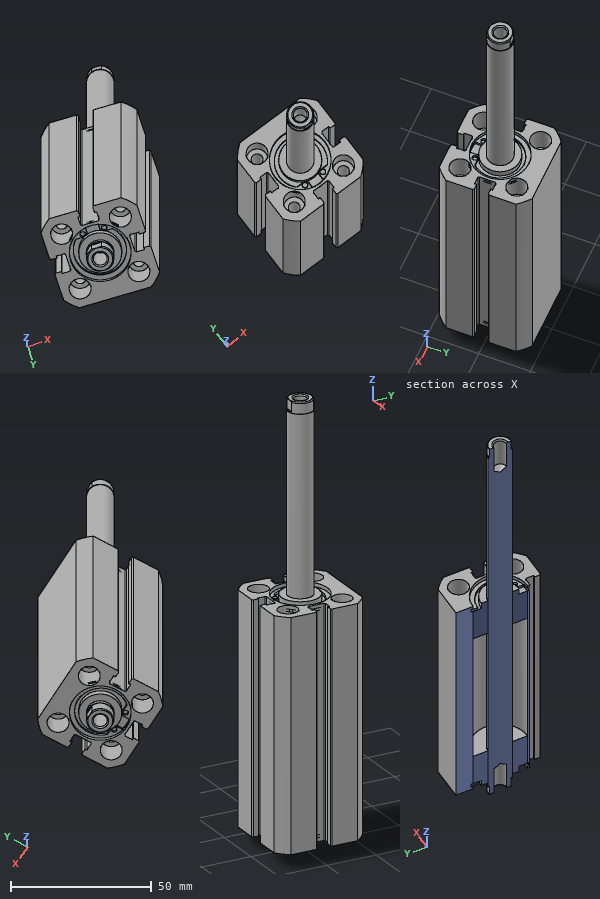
import cadquery as cq
import math

SIDE = 36.0
HOUSING_LENGTH = 92.0
CORNER_RADIUS = 22.5

BOLT_PITCH = 22.0
BOLT_HOLE_DIAMETER = 4.2
COUNTERBORE_DIAMETER = 7.8
COUNTERBORE_DEPTH = 10.0

SLOT_MOUTH_WIDTH = 5.4
SLOT_INNER_WIDTH = 7.0
SLOT_LIP = 2.6
SLOT_DEPTH = 6.0
SLOT_CORNER_CHAMFER = 0.4
SLOT_MOUTH_CHAMFER = 0.5
SLOT_ANGLES = (0, 180, 270)

BORE_DIAMETER = 22.0

ROD_DIAMETER = 10.0
ROD_TOP_REACH = 76.0
ROD_BOTTOM_REACH = 6.0
ROD_END_DIAMETER = 9.7
ROD_END_LENGTH = 4.5
FLATS_WIDTH = 9.0
FLATS_LENGTH = 4.0
ROD_CHAMFER = 0.4
THREAD_HOLE_DIAMETER = 5.0
THREAD_HOLE_DEPTH = 12.0
COUNTERSINK_DIAMETER = 6.0
DRILL_POINT_ANGLE = 118.0

COVER_LENGTH = 14.0
HUB_DIAMETER = 15.4
RING_RECESS = 1.5
RING_THICKNESS = 1.0
RING_DIAMETER = 23.4
RING_EYE_DIAMETER = 19.0
RING_EYE_OFFSET = 0.4
LUG_EDGE = 7.0
LUG_HUB_CLEARANCE = 0.3
RING_GAP = 4.8
PLIER_HOLE_DIAMETER = 2.0
PLIER_HOLE_X = 4.0
PLIER_HOLE_Y = -8.1

RING_TOP = HOUSING_LENGTH - RING_RECESS
RING_BOTTOM = RING_TOP - RING_THICKNESS
COVER_BOTTOM = RING_BOTTOM - COVER_LENGTH


def cylinder(diameter, bottom, top):
    """Cylinder on the Z axis between two heights."""
    return cq.Workplane("XY").workplane(offset=bottom).circle(diameter / 2).extrude(top - bottom)


def mirror_to_bottom(body):
    """Copy a body from the top end of the housing to the bottom end."""
    middle = (0, 0, HOUSING_LENGTH / 2)
    return body.mirror("XY", middle)


def t_slot():
    """Slot on the +X side, along the full housing length."""
    face_x = SIDE / 2
    lip_x = face_x - SLOT_LIP
    floor_x = face_x - SLOT_DEPTH
    mouth_y = SLOT_MOUTH_WIDTH / 2
    inner_y = SLOT_INNER_WIDTH / 2
    upper_half = [
        (floor_x, inner_y - SLOT_CORNER_CHAMFER),
        (floor_x + SLOT_CORNER_CHAMFER, inner_y),
        (lip_x, inner_y),
        (lip_x, mouth_y),
        (face_x - SLOT_MOUTH_CHAMFER, mouth_y),
        (face_x, mouth_y + SLOT_MOUTH_CHAMFER),
    ]
    lower_half = [(x, -y) for x, y in reversed(upper_half)]
    return cq.Workplane("XY").polyline(upper_half + lower_half).close().extrude(HOUSING_LENGTH)


def make_housing():
    """Extruded barrel with bore, ring grooves, T-slots and corner mounting holes."""
    body = cq.Workplane("XY").rect(SIDE, SIDE).extrude(HOUSING_LENGTH)
    body = body.intersect(cylinder(2 * CORNER_RADIUS, 0, HOUSING_LENGTH))
    body = body.cut(cylinder(BORE_DIAMETER, 0, HOUSING_LENGTH))
    groove = cylinder(RING_DIAMETER, RING_BOTTOM, RING_TOP)
    body = body.cut(groove).cut(mirror_to_bottom(groove))
    for angle in SLOT_ANGLES:
        body = body.cut(t_slot().rotate((0, 0, 0), (0, 0, 1), angle))
    for x in (-BOLT_PITCH / 2, BOLT_PITCH / 2):
        for y in (-BOLT_PITCH / 2, BOLT_PITCH / 2):
            hole = cylinder(BOLT_HOLE_DIAMETER, 0, HOUSING_LENGTH)
            top_bore = cylinder(COUNTERBORE_DIAMETER, HOUSING_LENGTH - COUNTERBORE_DEPTH, HOUSING_LENGTH)
            bores = hole.union(top_bore).union(mirror_to_bottom(top_bore))
            body = body.cut(bores.translate((x, y, 0)))
    return body


def threaded_hole(end_z, inward):
    """Countersunk blind hole with a drill point; inward is +1 or -1 along Z."""
    radius = THREAD_HOLE_DIAMETER / 2
    mouth_radius = COUNTERSINK_DIAMETER / 2
    countersink_depth = mouth_radius - radius
    point_depth = radius / math.tan(math.radians(DRILL_POINT_ANGLE / 2))
    profile = [
        (0, 0),
        (mouth_radius, 0),
        (radius, countersink_depth),
        (radius, THREAD_HOLE_DEPTH),
        (0, THREAD_HOLE_DEPTH + point_depth),
    ]
    points = [(x, end_z + inward * depth) for x, depth in profile]
    return cq.Workplane("XZ").polyline(points).close().revolve(360, (0, 0, 0), (0, 1, 0))


def make_rod():
    """Rod that runs through both ends of the housing."""
    top = HOUSING_LENGTH + ROD_TOP_REACH
    bottom = -ROD_BOTTOM_REACH
    rod = cylinder(ROD_DIAMETER, bottom + ROD_END_LENGTH, top - ROD_END_LENGTH)
    rod = rod.union(cylinder(ROD_END_DIAMETER, bottom, top))
    rod = rod.faces("<Z or >Z").chamfer(ROD_CHAMFER)
    for flats_bottom in (bottom, top - FLATS_LENGTH):
        for side in (-1, 1):
            centre = (0, side * (FLATS_WIDTH + ROD_DIAMETER) / 2, flats_bottom + FLATS_LENGTH / 2)
            cutter = cq.Workplane("XY").box(ROD_DIAMETER, ROD_DIAMETER, FLATS_LENGTH)
            rod = rod.cut(cutter.translate(centre))
    return rod.cut(threaded_hole(top, -1)).cut(threaded_hole(bottom, 1))


def make_cover():
    """Rod guide: a flange in the bore and a hub that rises through the ring."""
    flange = cylinder(BORE_DIAMETER, COVER_BOTTOM, RING_BOTTOM)
    hub = cylinder(HUB_DIAMETER, RING_BOTTOM, HOUSING_LENGTH)
    return flange.union(hub).cut(cylinder(ROD_DIAMETER, COVER_BOTTOM, HOUSING_LENGTH))


def make_ring():
    """Retaining ring with an off-centre eye and two lugs with plier holes beside the gap."""
    disc = cylinder(RING_DIAMETER, RING_BOTTOM, RING_TOP)
    eye = cylinder(RING_EYE_DIAMETER, RING_BOTTOM, RING_TOP).translate((0, -RING_EYE_OFFSET, 0))
    below = cq.Workplane("XY").box(SIDE, SIDE, HOUSING_LENGTH, centered=(True, True, False))
    lugs = disc.intersect(below.translate((0, -LUG_EDGE - SIDE / 2, 0)))
    ring = disc.cut(eye).union(lugs)
    ring = ring.cut(cylinder(HUB_DIAMETER + 2 * LUG_HUB_CLEARANCE, RING_BOTTOM, RING_TOP))
    gap = cq.Workplane("XY").box(RING_GAP, SIDE, HOUSING_LENGTH, centered=(True, True, False))
    ring = ring.cut(gap.translate((0, -SIDE / 2, 0)))
    for x in (-PLIER_HOLE_X, PLIER_HOLE_X):
        ring = ring.cut(cylinder(PLIER_HOLE_DIAMETER, RING_BOTTOM, RING_TOP).translate((x, PLIER_HOLE_Y, 0)))
    return ring


housing = make_housing()
rod = make_rod()
top_cover = make_cover()
top_ring = make_ring()

bottom_cover = mirror_to_bottom(top_cover)
bottom_ring = mirror_to_bottom(top_ring)

bodies = (housing, rod, top_cover, top_ring, bottom_cover, bottom_ring)
result = cq.Compound.makeCompound([body.val() for body in bodies])